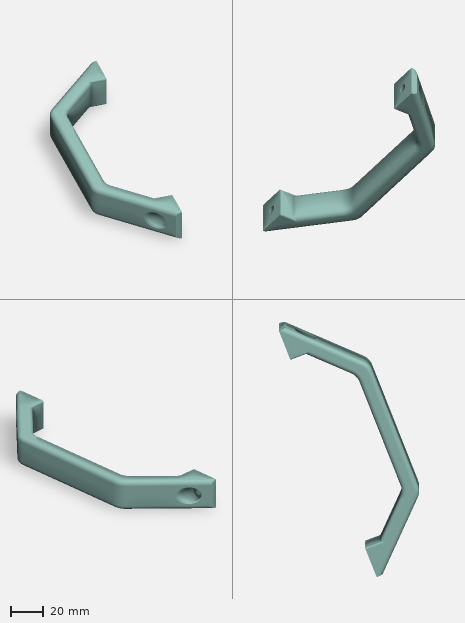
import cadquery as cq
import math

length = 169.8
depth = 45.0
height = 20.0

bar_thickness = 10.0
bend_radius = 10.0
edge_radius = 2.9
foot_width = height
foot_edge_radius = 1.0

screw_diameter = 5.5
counterbore_diameter = 10.0
seat_thickness = 5.1
rim_chamfer = 0.8
screw_x = length / 2 - foot_width / 2

leg_angle = math.radians(45)
diagonal = math.sqrt(2)
foot_face = edge_radius * diagonal
outer_bend_x = length / 2 - depth + foot_face
inner_bend_x = outer_bend_x - bar_thickness * math.tan(leg_angle / 2)
bar_inner_y = bar_thickness - depth
overrun = 17.0


def make_bar():
    """Bent bar of constant thickness with rounded bends and edges."""
    outer_run = depth + overrun
    end_x = outer_bend_x + outer_run
    end_y = overrun
    end_shift = bar_thickness / diagonal
    points = [
        (-outer_bend_x, -depth),
        (outer_bend_x, -depth),
        (end_x, end_y),
        (end_x - end_shift, end_y + end_shift),
        (inner_bend_x, bar_inner_y),
        (-inner_bend_x, bar_inner_y),
        (-end_x + end_shift, end_y + end_shift),
        (-end_x, end_y),
    ]
    bar = cq.Workplane("XY").polyline(points).close().extrude(height / 2, both=True)
    bends = bar.edges("|Z").edges(cq.selectors.BoxSelector(
        (-length / 2, -depth - edge_radius, -height),
        (length / 2, bar_inner_y + edge_radius, height)))
    bar = bends.fillet(bend_radius)
    bar = bar.faces("<Z or >Z").edges().fillet(edge_radius)
    envelope = cq.Workplane("XY").box(length, depth, height).translate((0, -depth / 2, 0))
    return bar.intersect(envelope)


def make_foot(side):
    """Triangular foot filling the corner between a leg and the mounting plane."""
    outer_x = side * length / 2
    inner_x = side * (length / 2 - foot_width)
    foot = (
        cq.Workplane("XY")
        .polyline([(outer_x, 0), (inner_x, 0), (inner_x, -foot_width)])
        .close()
        .extrude(height / 2, both=True)
    )
    inner_face = "<X" if side > 0 else ">X"
    return foot.faces(inner_face).edges("|Y").fillet(foot_edge_radius)


def cylinder_along_y(x, diameter, y_start):
    """Cutter running from y_start out past the grip."""
    return (
        cq.Workplane("XZ", origin=(x, y_start, 0))
        .circle(diameter / 2)
        .extrude(y_start + depth)
    )


def cut_screw_hole(body, x):
    """Counterbored screw hole with a bevelled rim on the sloping leg."""
    body = body.cut(cylinder_along_y(x, counterbore_diameter, -seat_thickness))
    rim_y = foot_face + length / 2 - abs(x)
    reach = counterbore_diameter / 2 + rim_chamfer
    rim = body.edges(cq.selectors.BoxSelector(
        (x - reach, -rim_y - rim_chamfer, -reach),
        (x + reach, -rim_y + rim_chamfer, reach)))
    body = rim.chamfer(rim_chamfer)
    return body.cut(cylinder_along_y(x, screw_diameter, 0))


result = make_bar()
for side in (-1, 1):
    result = result.union(make_foot(side))
for side in (-1, 1):
    result = cut_screw_hole(result, side * screw_x)